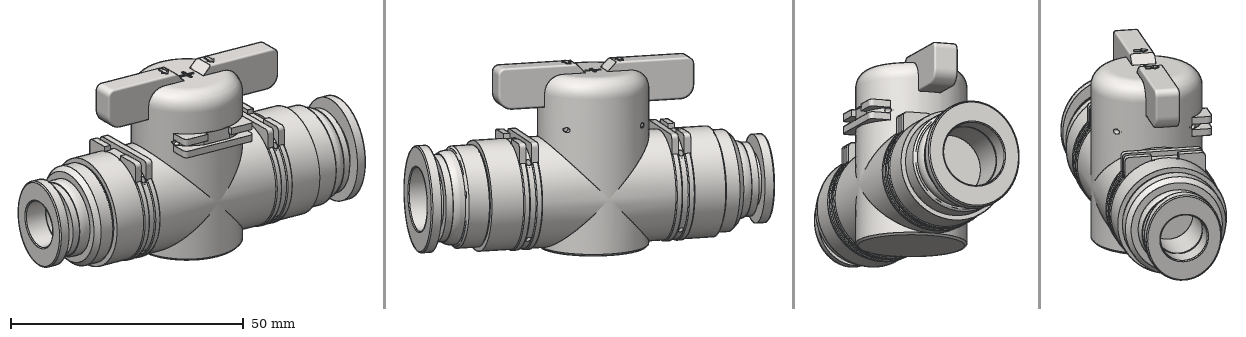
import cadquery as cq

body_radius = 12.0
body_front = -26.15
body_back = 26.4
bonnet_bottom = -12.45
bonnet_top = 26.1
bonnet_rounding = 4.0
bonnet_chamfer = 0.5

lug_height = 12.6
lug_half_width = 8.9
lug_pair_width = 4.3
lug_slot = 1.25
lug_slot_floor = 11.5
lug_rounding = 0.9
lug_break = 6.1
lug_distance = 17.1
bonnet_lug_distance = 15.0

ring_radius = 12.2
ring_slope = 0.2
hole_diameter = 1.1
hole_offset = 8.5
hole_floor = 7.5

handle_width = 5.3
handle_reach = 21.95
handle_bottom = 19.0
handle_top = 28.0
handle_inner = 2.5
handle_upper_radius = 1.5
handle_lower_radius = 3.0
handle_edge_radius = 0.5

arrow_height = 0.2
arrow_distance = 5.9
arrow_length = 2.95
arrow_head_length = 1.2
arrow_head_width = 1.9
arrow_shaft_width = 0.9
cross_length = 3.4
cross_width = 0.55
cross_depth = 0.15

back_end = 39.45
overall_length = 77.8
front_end = back_end - overall_length
seat_radius = 10.7
collar_start = 26.6
collar_radius = 11.05
flange_thickness = 2.25
flange_chamfer = 0.27
bore_chamfer = 0.2
bore_depth = 15.55
sleeve_depth = 5.3
sleeve_wall = 0.15

back_collar_chamfer_start = 31.2
back_collar_end = 31.6
back_collar_end_radius = 10.6
back_crown_start = 31.75
back_crown_bend = 32.9
back_crown_mid = 33.7
back_crown_end = 34.3
back_crown_radius = 10.2
back_crown_mid_radius = 9.95
back_crown_end_radius = 9.6
back_nose_end = 35.9
back_nose_radius = 9.4
back_neck_radius = 7.55
back_flange_size = (20.8, 23.2)
back_bore_radius = 6.9

front_collar_chamfer_start = 29.65
front_collar_end = 30.8
front_collar_end_radius = 10.0
front_crown_bend = 31.8
front_crown_mid = 32.5
front_crown_end = 33.2
front_crown_radius = 8.5
front_crown_mid_radius = 8.4
front_crown_end_radius = 8.2
front_nose_end = 34.85
front_nose_radius = 8.0
front_neck_radius = 5.9
front_flange_size = (16.6, 19.3)
front_bore_radius = 5.1


def make_body():
    run = (
        cq.Workplane("XZ", origin=(0, body_back, 0))
        .circle(body_radius)
        .extrude(body_back - body_front)
    )
    bonnet = (
        cq.Workplane("XY", origin=(0, 0, bonnet_bottom))
        .circle(body_radius)
        .extrude(bonnet_top - bonnet_bottom)
        .faces(">Z").edges().fillet(bonnet_rounding)
        .faces("<Z").edges().chamfer(bonnet_chamfer)
    )
    return run.union(bonnet)


def turned(profile):
    """Revolve a profile of (radius, Y) points about the Y axis."""
    return profile.close().revolve(360, (0, 0, 0), (0, 1, 0))


def back_fitting():
    """Stepped nose of the larger fitting, up to its flange."""
    neck_end = back_end - flange_thickness
    return turned(
        cq.Workplane("XY")
        .lineTo(seat_radius, 0)
        .lineTo(seat_radius, collar_start)
        .lineTo(collar_radius, collar_start)
        .lineTo(collar_radius, back_collar_chamfer_start)
        .lineTo(back_collar_end_radius, back_collar_end)
        .lineTo(back_crown_radius, back_crown_start)
        .lineTo(back_crown_radius, back_crown_bend)
        .threePointArc(
            (back_crown_mid_radius, back_crown_mid),
            (back_crown_end_radius, back_crown_end),
        )
        .lineTo(back_nose_radius, back_crown_end)
        .lineTo(back_nose_radius, back_nose_end)
        .lineTo(back_neck_radius, back_nose_end)
        .lineTo(back_neck_radius, neck_end)
        .lineTo(0, neck_end)
    )


def front_fitting():
    """Stepped nose of the smaller fitting, up to its flange."""
    neck_end = front_end + flange_thickness
    return turned(
        cq.Workplane("XY")
        .lineTo(seat_radius, 0)
        .lineTo(seat_radius, -collar_start)
        .lineTo(collar_radius, -collar_start)
        .lineTo(collar_radius, -front_collar_chamfer_start)
        .lineTo(front_collar_end_radius, -front_collar_end)
        .lineTo(front_crown_radius, -front_collar_end)
        .lineTo(front_crown_radius, -front_crown_bend)
        .threePointArc(
            (front_crown_mid_radius, -front_crown_mid),
            (front_crown_end_radius, -front_crown_end),
        )
        .lineTo(front_nose_radius, -front_crown_end)
        .lineTo(front_nose_radius, -front_nose_end)
        .lineTo(front_neck_radius, -front_nose_end)
        .lineTo(front_neck_radius, neck_end)
        .lineTo(0, neck_end)
    )


def oval_flange(size, end, direction):
    """Oval release flange whose outer face lies at y = end."""
    width, height = size
    return (
        cq.Workplane("XZ", origin=(0, end, 0))
        .ellipse(width / 2, height / 2)
        .extrude(direction * flange_thickness)
        .faces(">Y" if direction > 0 else "<Y").edges().chamfer(flange_chamfer)
    )


def tube_bore(radius, end, direction):
    """Blind bore with a chamfered mouth, slightly wider behind its sleeve."""
    sleeve_end = end - direction * sleeve_depth
    bore_end = end - direction * bore_depth
    return turned(
        cq.Workplane("XY")
        .moveTo(0, end)
        .lineTo(radius + bore_chamfer, end)
        .lineTo(radius, end - direction * bore_chamfer)
        .lineTo(radius, sleeve_end)
        .lineTo(radius + sleeve_wall, sleeve_end)
        .lineTo(radius + sleeve_wall, bore_end)
        .lineTo(0, bore_end)
    )


def lug_rails():
    """Two rails facing +Z, either side of a slot centred on y = 0."""
    block = (
        cq.Workplane("XY")
        .box(2 * lug_half_width, lug_pair_width, lug_height, centered=(True, True, False))
        .edges("|Y and >Z").fillet(lug_rounding)
    )
    slot = cq.Workplane("XY").box(
        2 * lug_half_width, lug_slot, lug_height, centered=(True, True, False)
    )
    return block.cut(slot)


def lug_flats():
    """Space above the flat floor of the slot and of the break in the +Y rail."""
    floor = cq.Workplane("XY", origin=(0, 0, lug_slot_floor))
    height = lug_height - lug_slot_floor
    slot = floor.box(2 * lug_half_width, lug_slot, height, centered=(True, True, False))
    rail_break = floor.box(
        lug_break, lug_pair_width / 2, height, centered=(True, False, False)
    )
    return slot.union(rail_break)


def tie_holes():
    """Four blind holes along Z, one on each shoulder of the Y axis cylinder."""
    holes = (
        cq.Workplane("XY", origin=(0, 0, hole_floor))
        .pushPoints([(-hole_offset, 0), (hole_offset, 0)])
        .circle(hole_diameter / 2)
        .extrude(lug_slot_floor - hole_floor)
    )
    return holes.union(holes.mirror("XY"))


def on_back(shape):
    return shape.translate((0, lug_distance, 0))


def on_front(shape):
    return shape.rotate((0, 0, 0), (0, 0, 1), 180).translate((0, -lug_distance, 0))


def on_bonnet(shape):
    """Turn a +Z facing shape to +X, with its +Y side up."""
    facing = shape.rotate((0, 0, 0), (1, 1, 1), 120)
    return facing.translate((0, 0, bonnet_lug_distance))


def tie_rings():
    """Two low rings with sloping flanks, either side of a slot centred on y = 0."""
    inner = lug_slot / 2
    outer = lug_pair_width / 2
    ring = turned(
        cq.Workplane("XY")
        .moveTo(0, inner)
        .lineTo(body_radius, inner)
        .lineTo(ring_radius, inner + ring_slope)
        .lineTo(ring_radius, outer - ring_slope)
        .lineTo(body_radius, outer)
        .lineTo(0, outer)
    )
    return ring.add(ring.mirror("XZ")).combine()


def handle_wing():
    """Wing on the +Y side, with a 45 degree slope at its inner top end."""
    rise = handle_top - bonnet_top
    wing = (
        cq.Workplane("YZ", origin=(-handle_width / 2, 0, 0))
        .moveTo(handle_inner, handle_bottom)
        .lineTo(handle_reach, handle_bottom)
        .lineTo(handle_reach, handle_top)
        .lineTo(handle_inner + rise, handle_top)
        .lineTo(handle_inner, bonnet_top)
        .close()
        .extrude(handle_width)
        .edges("|X and >Y and >Z").fillet(handle_upper_radius)
        .edges("|X and >Y and <Z").fillet(handle_lower_radius)
    )
    rim = wing.faces("<X or >X").edges().filter(
        lambda edge: edge.Center().y > handle_inner + rise
    )
    return wing.newObject(rim.vals()).fillet(handle_edge_radius)


def arrow():
    """Arrow standing on the handle and pointing to +X, centred on the Y axis."""
    tail = -arrow_length / 2
    tip = arrow_length / 2
    neck = tip - arrow_head_length
    return (
        cq.Workplane("XY", origin=(0, 0, handle_top))
        .polyline([
            (tail, -arrow_shaft_width / 2),
            (neck, -arrow_shaft_width / 2),
            (neck, -arrow_head_width / 2),
            (tip, 0),
            (neck, arrow_head_width / 2),
            (neck, arrow_shaft_width / 2),
            (tail, arrow_shaft_width / 2),
        ])
        .close()
        .extrude(arrow_height)
    )


def bonnet_cross():
    floor = cq.Workplane("XY", origin=(0, 0, bonnet_top - cross_depth))
    along_x = floor.rect(cross_length, cross_width).extrude(cross_depth)
    along_y = floor.rect(cross_width, cross_length).extrude(cross_depth)
    return along_x.union(along_y)


result = make_body()

result = result.union(back_fitting()).union(front_fitting())
result = result.union(oval_flange(back_flange_size, back_end, 1))
result = result.union(oval_flange(front_flange_size, front_end, -1))
result = result.cut(tube_bore(back_bore_radius, back_end, 1))
result = result.cut(tube_bore(front_bore_radius, front_end, -1))

for place in (on_back, on_front):
    result = result.union(place(tie_rings()))

for place in (on_back, on_front, on_bonnet):
    result = result.union(place(lug_rails()))
    result = result.cut(place(lug_flats()))
    result = result.cut(place(tie_holes()))

wing = handle_wing()
result = result.union(wing).union(wing.mirror("XZ"))
for side in (-1, 1):
    result = result.union(arrow().translate((0, side * arrow_distance, 0)))
result = result.cut(bonnet_cross())